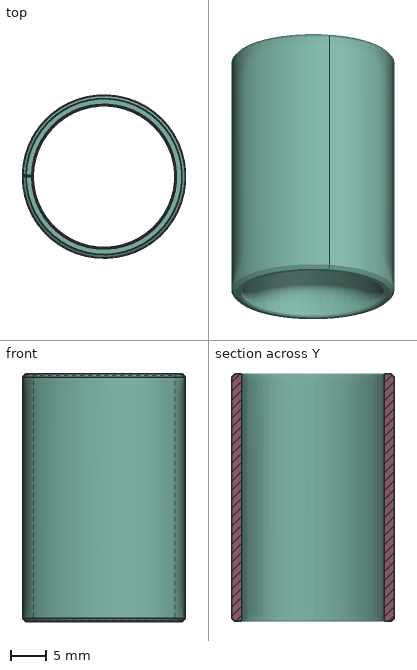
import cadquery as cq

outer_diameter = 23.0
bore_diameter = 20.0
length = 35.0
outer_chamfer = 0.5
bore_chamfer = 0.2
joint_gap_angle = 1.0
joint_start_angle = 180.0

outer_radius = outer_diameter / 2
bore_radius = bore_diameter / 2
wall_sweep_angle = 360.0 - joint_gap_angle


def make_wall_section():
    """Radial section of the wall, chamfered at all four corners."""
    points = [
        (bore_radius, bore_chamfer),
        (bore_radius + bore_chamfer, 0),
        (outer_radius - outer_chamfer, 0),
        (outer_radius, outer_chamfer),
        (outer_radius, length - outer_chamfer),
        (outer_radius - outer_chamfer, length),
        (bore_radius + bore_chamfer, length),
        (bore_radius, length - bore_chamfer),
    ]
    return cq.Workplane("XZ").polyline(points).close()


def make_split_bush():
    """Sweep the wall section about Z, stopping short of a full turn to leave the joint."""
    wall = make_wall_section().revolve(wall_sweep_angle, (0, 0), (0, 1))
    return wall.rotate((0, 0, 0), (0, 0, 1), joint_start_angle)


result = make_split_bush()